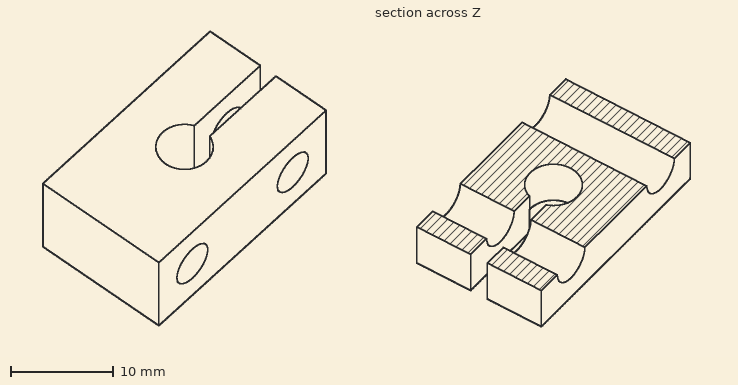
import cadquery as cq

width = 15.0
length = 25.0
height = 10.0

bore_diameter = 5.6
slot_width = 2.0

cross_hole_diameter = 4.6
cross_hole_spacing = 15.0


def make_block():
    return cq.Workplane("XY").box(width, length, height)


def make_bore():
    return cq.Workplane("XY").circle(bore_diameter / 2).extrude(height / 2, both=True)


def make_slot():
    """Slot from the bore axis out through the +Y end, over the full height."""
    slot_length = length / 2
    return cq.Workplane("XY").center(0, slot_length / 2).box(slot_width, slot_length, height)


def make_cross_holes():
    """Two through holes along X at mid height."""
    offset = cross_hole_spacing / 2
    return (
        cq.Workplane("YZ")
        .pushPoints([(-offset, 0), (offset, 0)])
        .circle(cross_hole_diameter / 2)
        .extrude(width / 2, both=True)
    )


result = make_block().cut(make_bore()).cut(make_slot()).cut(make_cross_holes())